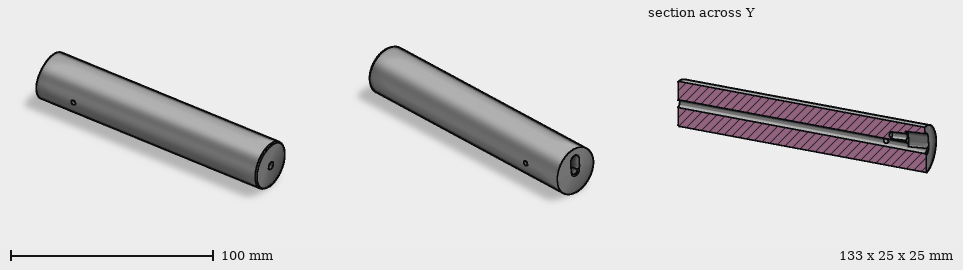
import cadquery as cq
import math

length = 133.0
rod_radius = 12.5
end_chamfer_length = 0.8
end_chamfer_depth = 0.5

tilt = 4.0

bore_radius = 2.0
mouth_chamfer = 0.7

slot_radius = 2.9
slot_low_center = 2.1
slot_high_center = 5.9
slot_depth = 10.6
inclined_radius = 1.7
inclined_depth = 18.6
drill_point_angle = 118.0
inclined_height = 5.9

pin_x = 22.5
pin_radius = 1.26


def make_rod():
    """Rod with a chamfer around its far end."""
    profile = (
        cq.Workplane("XY")
        .lineTo(0, rod_radius)
        .lineTo(length - end_chamfer_length, rod_radius)
        .lineTo(length, rod_radius - end_chamfer_depth)
        .lineTo(length, 0)
        .close()
    )
    return profile.revolve(360, (0, 0, 0), (1, 0, 0))


def make_lean_wedge():
    """Material removed to lean the upper half of the mouth end."""
    lean = rod_radius * math.tan(math.radians(tilt))
    return (
        cq.Workplane("XZ")
        .lineTo(lean, rod_radius)
        .lineTo(0, rod_radius)
        .close()
        .extrude(rod_radius, both=True)
    )


def make_bore():
    """Through bore widened by a conical mouth."""
    mouth_radius = bore_radius + mouth_chamfer
    profile = (
        cq.Workplane("XY")
        .lineTo(0, mouth_radius)
        .lineTo(mouth_chamfer, bore_radius)
        .lineTo(length, bore_radius)
        .lineTo(length, 0)
        .close()
    )
    return profile.revolve(360, (0, 0, 0), (1, 0, 0))


def make_inclined_cuts():
    """Blind slot, and the drilled blind hole in its floor."""
    overrun = 1.3
    start = cq.Workplane("YZ").workplane(offset=-overrun)
    slot_span = slot_high_center - slot_low_center
    slot = (
        start.center(0, (slot_low_center + slot_high_center) / 2)
        .slot2D(slot_span + 2 * slot_radius, 2 * slot_radius, 90)
        .extrude(slot_depth + overrun)
    )
    point_length = inclined_radius / math.tan(math.radians(drill_point_angle / 2))
    hole = (
        cq.Workplane("XY", origin=(0, 0, inclined_height))
        .lineTo(0, inclined_radius)
        .lineTo(inclined_depth, inclined_radius)
        .lineTo(inclined_depth + point_length, 0)
        .close()
        .revolve(360, (0, 0, 0), (1, 0, 0))
    )
    return slot.union(hole).rotate((0, 0, 0), (0, 1, 0), tilt)


def make_pin_hole():
    """Hole straight across the rod."""
    return (
        cq.Workplane("XZ")
        .center(pin_x, 0)
        .circle(pin_radius)
        .extrude(rod_radius, both=True)
    )


result = (
    make_rod()
    .cut(make_lean_wedge())
    .cut(make_bore())
    .cut(make_inclined_cuts())
    .cut(make_pin_hole())
)